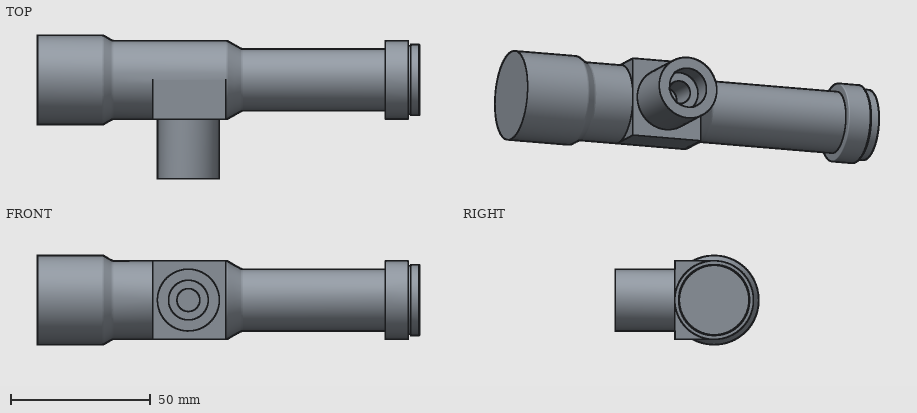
import cadquery as cq

total_length = 136.6
head_radius = 16.0
head_end = 23.5
body_radius = 14.1
body_start = 26.8
body_end = 67.8
tube_radius = 11.0
tube_start = 73.1
shoulder_blend = 1.4

collar_start = 124.3
collar_end = 132.6
collar_radius = body_radius
collar_edge_round = 0.4
groove_radius = 12.3
flange_start = 133.5
flange_radius = 12.7
flange_chamfer = 0.3

block_start = 41.3
block_end = 67.3
block_reach = body_radius
branch_x = 54.0
branch_radius = tube_radius
branch_reach = 35.4
counterbore_radius = 7.1
counterbore_depth = 8.2
bore_radius = 4.1
bore_depth = branch_reach - block_reach


def x_cylinder(radius, start, end):
    """Cylinder on the X axis between two X positions."""
    return cq.Workplane("YZ", origin=(start, 0, 0)).circle(radius).extrude(end - start)


def branch_cylinder(radius, outer, inner):
    """Cylinder on the branch axis between two distances from the main axis."""
    plane = cq.Workplane("XZ", origin=(branch_x, -inner, 0))
    return plane.circle(radius).extrude(outer - inner)


def make_stem():
    """Head, body and tube joined by conical shoulders with rounded edges."""
    outline = [
        (0, 0),
        (0, head_radius),
        (head_end, head_radius),
        (body_start, body_radius),
        (body_end, body_radius),
        (tube_start, tube_radius),
        (total_length, tube_radius),
        (total_length, 0),
    ]
    stem = cq.Workplane("XY").polyline(outline).close().revolve(360, (0, 0, 0), (1, 0, 0))
    for x in (head_end, body_start, body_end, tube_start):
        rim = cq.selectors.BoxSelector(
            (x - shoulder_blend / 2, -head_radius, -head_radius),
            (x + shoulder_blend / 2, head_radius, head_radius),
        )
        stem = stem.edges("%CIRCLE").edges(rim).fillet(shoulder_blend)
    return stem


def make_end_fitting():
    """Rounded collar, groove and chamfered flange at the far end."""
    collar = x_cylinder(collar_radius, collar_start, collar_end)
    collar = collar.edges("%CIRCLE").fillet(collar_edge_round)
    groove = x_cylinder(groove_radius, collar_start, total_length - flange_chamfer)
    flange = x_cylinder(flange_radius, flange_start, total_length)
    flange = flange.faces(">X").edges().chamfer(flange_chamfer)
    return collar.union(groove).union(flange)


def make_branch():
    """Block squared off the body, with the branch pipe on its face."""
    block = cq.Workplane("XY").box(
        block_end - block_start, block_reach, 2 * body_radius, centered=(False, False, True)
    ).translate((block_start, -block_reach, 0))
    return block.union(branch_cylinder(branch_radius, branch_reach, 0))


def make_branch_bore():
    """Stepped blind bore entering from the open end of the branch."""
    counterbore = branch_cylinder(counterbore_radius, branch_reach, branch_reach - counterbore_depth)
    bore = branch_cylinder(bore_radius, branch_reach, branch_reach - bore_depth)
    return counterbore.union(bore)


result = make_stem().union(make_end_fitting()).union(make_branch()).cut(make_branch_bore())